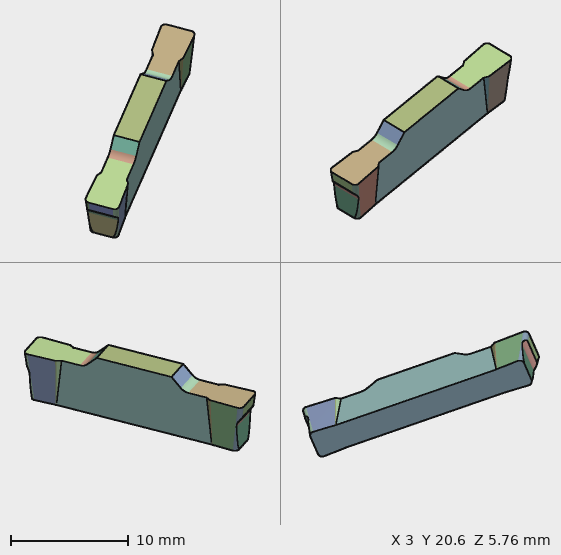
import math

import cadquery as cq

overall_length = 20.6
overall_height = 5.76
head_width = 3.0
body_width = 2.32

crown_half_length = 3.52
crown_slope = math.radians(45)
crown_root_radius = 1.0
shelf_height = 4.59

corner_radius = 0.4
head_length = 3.04
back_taper = math.radians(2)
neck_angle = math.radians(30)
neck_edge_radius = 0.2
end_clearance = math.radians(7)
side_clearance = math.radians(3)
neck_shift = 0.07
head_root_overlap = 0.25

edge_land_height = 1.22
relief_bottom_depth = 2.05
relief_inset = 0.55
relief_margin = 1.0

half_length = overall_length / 2
body_half_width = body_width / 2
head_root_half_width = body_half_width - head_root_overlap
neck_edge_y = half_length - head_length


def make_body():
    """Straight-sided slab with the raised crown, ending inside the heads."""
    root_run = crown_root_radius * math.sin(crown_slope)
    root_rise = crown_root_radius * (1 - math.cos(crown_slope))
    slope_drop = overall_height - shelf_height - root_rise
    slope_foot_y = crown_half_length + slope_drop / math.tan(crown_slope)
    slope_foot_z = shelf_height + root_rise
    root_end_y = slope_foot_y + root_run
    root_mid_y = root_end_y - crown_root_radius * math.sin(crown_slope / 2)
    root_mid_z = shelf_height + crown_root_radius * (1 - math.cos(crown_slope / 2))
    slab_end_y = neck_edge_y + neck_shift
    return (
        cq.Workplane("YZ")
        .moveTo(-slab_end_y, 0)
        .lineTo(slab_end_y, 0)
        .lineTo(slab_end_y, shelf_height)
        .lineTo(root_end_y, shelf_height)
        .threePointArc((root_mid_y, root_mid_z), (slope_foot_y, slope_foot_z))
        .lineTo(crown_half_length, overall_height)
        .lineTo(-crown_half_length, overall_height)
        .lineTo(-slope_foot_y, slope_foot_z)
        .threePointArc((-root_mid_y, root_mid_z), (-root_end_y, shelf_height))
        .lineTo(-slab_end_y, shelf_height)
        .close()
        .extrude(body_half_width, both=True)
    )


def head_section(depth):
    """Outline of the +Y head at the given depth below the shelf."""
    z = shelf_height - depth
    end_y = half_length - depth * math.tan(end_clearance)
    corner_y = end_y - corner_radius
    side_x = head_width / 2 - depth * math.tan(side_clearance)
    flat_x = side_x - corner_radius
    corner_mid = corner_radius * math.sin(math.radians(45))

    neck_y = neck_edge_y + neck_shift * depth / shelf_height
    neck_x = side_x - (half_length - corner_radius - neck_y) * math.tan(back_taper)
    tangent = neck_edge_radius * math.tan((neck_angle - back_taper) / 2)
    round_start = (neck_x + tangent * math.sin(back_taper), neck_y + tangent * math.cos(back_taper))
    round_end = (neck_x - tangent * math.sin(neck_angle), neck_y - tangent * math.cos(neck_angle))
    center_x = round_start[0] - neck_edge_radius * math.cos(back_taper)
    center_y = round_start[1] + neck_edge_radius * math.sin(back_taper)
    mid_angle = (neck_angle + back_taper) / 2
    round_mid = (
        center_x + neck_edge_radius * math.cos(mid_angle),
        center_y - neck_edge_radius * math.sin(mid_angle),
    )
    root_y = neck_y - (neck_x - head_root_half_width) / math.tan(neck_angle)

    def mirrored(point):
        return (-point[0], point[1])

    corner_point = (flat_x + corner_mid, corner_y + corner_mid)
    return (
        cq.Workplane("XY", origin=(0, 0, z))
        .moveTo(-flat_x, end_y)
        .lineTo(flat_x, end_y)
        .threePointArc(corner_point, (side_x, corner_y))
        .lineTo(*round_start)
        .threePointArc(round_mid, round_end)
        .lineTo(head_root_half_width, root_y)
        .lineTo(-head_root_half_width, root_y)
        .lineTo(*mirrored(round_end))
        .threePointArc(mirrored(round_mid), mirrored(round_start))
        .lineTo(-side_x, corner_y)
        .threePointArc(mirrored(corner_point), (-flat_x, end_y))
        .close()
        .val()
    )


def make_relief():
    """Space below the cutting edge: a concave arc running into an upright face."""
    land_y = half_length - edge_land_height * math.tan(end_clearance)
    land_z = shelf_height - edge_land_height
    face_y = half_length - relief_inset
    face_z = shelf_height - relief_bottom_depth
    outer_y = half_length + relief_margin
    return (
        cq.Workplane("YZ")
        .moveTo(face_y, -relief_margin)
        .lineTo(face_y, face_z)
        .tangentArcPoint((land_y, land_z), relative=False)
        .lineTo(outer_y, land_z)
        .lineTo(outer_y, -relief_margin)
        .close()
        .extrude(head_width, both=True)
    )


def make_head():
    """One tapered cutting head at the +Y end."""
    bottom = head_section(shelf_height)
    top = head_section(0)
    blank = cq.Workplane(cq.Solid.makeLoft([bottom, top], True))
    return blank.cut(make_relief())


head = make_head()
result = make_body().union(head).union(head.mirror("XZ"))